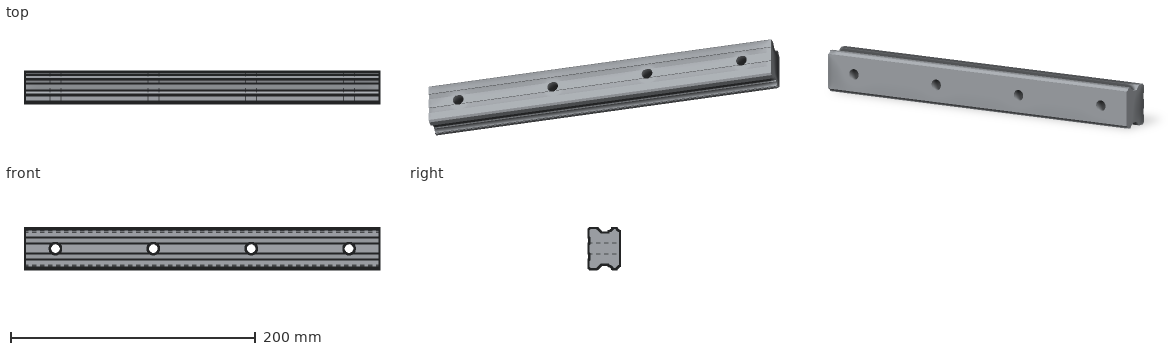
import cadquery as cq

length = 290.0
height = 26.0
width = 34.0

hole_diameter = 9.0
hole_pitch = 80.0
hole_count = 4

base_chamfer = 1.5
ledge_depth = 0.3
land_end_y = -6.3
land_ledge_y = -5.6
waist_start_y = -2.2
waist_end_y = 3.4
waist_depth = 3.8
shoulder_depth = 2.6
lower_track_start_y = 3.8
lower_track_end_y = 6.5
lower_track_end_depth = 0.9
lower_track_radius = 2.9
ridge_start_y = 7.2
ridge_end_y = 10.2
upper_track_start_depth = 0.5
upper_track_end_y = 12.4
upper_track_radius = 5.0

relief_depth = 0.6
relief_inner_z = 4.0
relief_outer_z = 9.0

base_y = -height / 2
top_y = height / 2
side_z = width / 2
ledge_z = side_z - ledge_depth
waist_z = side_z - waist_depth
shoulder_z = side_z - shoulder_depth


def half_section():
    """Section on the +Z side of the centre plane, extruded along the rail."""
    return (
        cq.Workplane("YZ")
        .moveTo(base_y, 0)
        .lineTo(base_y, side_z - base_chamfer)
        .lineTo(base_y + base_chamfer, side_z)
        .lineTo(land_end_y, side_z)
        .lineTo(land_end_y, ledge_z)
        .lineTo(land_ledge_y, ledge_z)
        .lineTo(waist_start_y, waist_z)
        .lineTo(waist_end_y, waist_z)
        .lineTo(waist_end_y, shoulder_z)
        .lineTo(lower_track_start_y, shoulder_z)
        .radiusArc((lower_track_end_y, side_z - lower_track_end_depth), -lower_track_radius)
        .lineTo(lower_track_end_y, ledge_z)
        .lineTo(ridge_start_y, ledge_z)
        .lineTo(ridge_start_y, side_z)
        .lineTo(ridge_end_y, side_z)
        .lineTo(ridge_end_y, side_z - upper_track_start_depth)
        .radiusArc((upper_track_end_y, shoulder_z), -upper_track_radius)
        .lineTo(top_y, shoulder_z)
        .lineTo(top_y, 0)
        .close()
        .extrude(length / 2, both=True)
    )


def relief_groove(side):
    """Shallow groove along the base face on one side of the hole row."""
    groove_width = relief_outer_z - relief_inner_z
    centre_z = side * (relief_outer_z + relief_inner_z) / 2
    return (
        cq.Workplane("XY")
        .box(length, 2 * relief_depth, groove_width)
        .translate((0, base_y, centre_z))
    )


def mounting_holes():
    """Row of holes through the full height of the rail."""
    return (
        cq.Workplane("XZ")
        .rarray(hole_pitch, 1, hole_count, 1)
        .circle(hole_diameter / 2)
        .extrude(height, both=True)
    )


half = half_section()
result = half.union(half.mirror("XY"))
for side in (-1, 1):
    result = result.cut(relief_groove(side))
result = result.cut(mounting_holes())